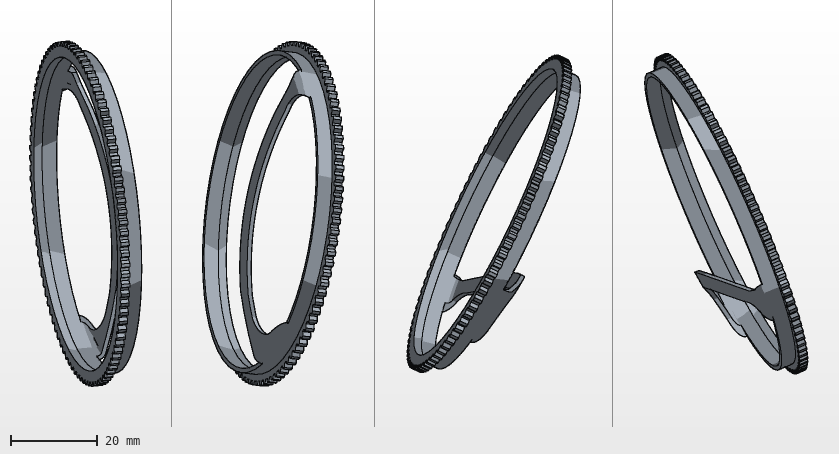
import cadquery as cq
import math

TIP_RADIUS = 40.0
ROOT_RADIUS = 39.0
BORE_RADIUS = 36.5
GEAR_THICKNESS = 2.0
TOOTH_COUNT = 99
TOOTH_PHASE = -0.45
TIP_SHARE = 0.34
BASE_SHARE = 0.72

COLLAR_RADIUS = 37.5
COLLAR_BACK = 5.5
WALL = COLLAR_RADIUS - BORE_RADIUS

DOME_TOP = 13.0
DOME_RADIUS = 116.0
BEND_INSIDE = 1.2
BEND_OUTSIDE = BEND_INSIDE + WALL

EDGE_CENTRE = (-109.0, -49.9)
INNER_EDGE_RADIUS = 105.9
BAND_WIDTH = 4.0
OUTER_EDGE_RADIUS = INNER_EDGE_RADIUS + BAND_WIDTH
OUTER_EDGE_TOP_Z = 22.0
OUTER_EDGE_BOTTOM_Z = -20.8
INNER_EDGE_TOP_Z = 16.2
INNER_EDGE_BOTTOM_Z = -22.8
UPPER_FLARE_MIDDLE = (-29.2, 18.7)
UPPER_FLARE_END = (-33.5, 17.0)
LOWER_FLARE_START = (-6.2, -28.0)
LOWER_FLARE_MIDDLE = (-7.8, -31.8)
LOWER_FLARE_END = (-12.6, -33.5)
LOWER_FOOT_TIP = (-18.6, -32.6)
UPPER_FOOT_X = -26.9
UPPER_FOOT_CORNER_Z = 24.3
LOWER_FOOT_X = -1.6
FOOT_REACH = 40.0

NEAREST_RADIUS = math.hypot(*EDGE_CENTRE) - OUTER_EDGE_RADIUS
DOME_CENTRE_Y = DOME_TOP - math.sqrt(DOME_RADIUS**2 - NEAREST_RADIUS**2)


def polar(radius, angle):
    return (radius * math.cos(angle), radius * math.sin(angle))


def disc(radius, start, end):
    """Solid disc about Y between two Y positions."""
    return cq.Workplane("XZ", origin=(0, start, 0)).circle(radius).extrude(start - end)


def gear_ring():
    pitch = 2 * math.pi / TOOTH_COUNT
    half_tip = pitch * TIP_SHARE / 2
    half_base = pitch * BASE_SHARE / 2
    first = math.radians(TOOTH_PHASE)
    outline = cq.Workplane("XZ").moveTo(*polar(ROOT_RADIUS, first - half_base))
    for tooth in range(TOOTH_COUNT):
        middle = first + tooth * pitch
        outline = outline.lineTo(*polar(TIP_RADIUS, middle - half_tip))
        outline = outline.threePointArc(polar(TIP_RADIUS, middle), polar(TIP_RADIUS, middle + half_tip))
        outline = outline.lineTo(*polar(ROOT_RADIUS, middle + half_base))
        outline = outline.threePointArc(
            polar(ROOT_RADIUS, middle + pitch / 2),
            polar(ROOT_RADIUS, middle + pitch - half_base),
        )
    return outline.close().extrude(-GEAR_THICKNESS).cut(disc(BORE_RADIUS, 0, GEAR_THICKNESS))


def domed_plug(rim_radius, dome_radius, bend_radius):
    """Round plug with a spherical cap whose rim is rounded, revolved about Y."""
    bend_x = rim_radius - bend_radius
    bend_reach = dome_radius - bend_radius
    bend_y = DOME_CENTRE_Y + math.sqrt(bend_reach**2 - bend_x**2)
    cap_angle = math.asin(bend_x / bend_reach)

    def on_cap(angle):
        return (dome_radius * math.sin(angle), DOME_CENTRE_Y + dome_radius * math.cos(angle))

    bend_angle = (cap_angle + math.pi / 2) / 2
    bend_middle = (bend_x + bend_radius * math.sin(bend_angle), bend_y + bend_radius * math.cos(bend_angle))
    return (
        cq.Workplane("XY")
        .moveTo(0, 0)
        .lineTo(rim_radius, 0)
        .lineTo(rim_radius, bend_y)
        .threePointArc(bend_middle, on_cap(cap_angle))
        .threePointArc(on_cap(cap_angle / 2), on_cap(0))
        .close()
        .revolve(360, (0, 0, 0), (0, 1, 0))
    )


def edge_point(radius, z):
    """Point at height z on a handle edge of the given radius."""
    x, centre_z = EDGE_CENTRE
    return (x + math.sqrt(radius**2 - (z - centre_z) ** 2), z)


def handle_outline():
    middle_z = (OUTER_EDGE_TOP_Z + OUTER_EDGE_BOTTOM_Z) / 2
    return (
        cq.Workplane("XZ", origin=(0, COLLAR_BACK, 0))
        .moveTo(UPPER_FOOT_X, FOOT_REACH)
        .lineTo(UPPER_FOOT_X, UPPER_FOOT_CORNER_Z)
        .lineTo(*edge_point(OUTER_EDGE_RADIUS, OUTER_EDGE_TOP_Z))
        .threePointArc(
            edge_point(OUTER_EDGE_RADIUS, middle_z),
            edge_point(OUTER_EDGE_RADIUS, OUTER_EDGE_BOTTOM_Z),
        )
        .lineTo(LOWER_FOOT_X, -COLLAR_RADIUS)
        .lineTo(LOWER_FOOT_X, -FOOT_REACH)
        .lineTo(LOWER_FOOT_TIP[0], -FOOT_REACH)
        .lineTo(*LOWER_FOOT_TIP)
        .lineTo(*LOWER_FLARE_END)
        .threePointArc(LOWER_FLARE_MIDDLE, LOWER_FLARE_START)
        .lineTo(*edge_point(INNER_EDGE_RADIUS, INNER_EDGE_BOTTOM_Z))
        .threePointArc(
            edge_point(INNER_EDGE_RADIUS, middle_z),
            edge_point(INNER_EDGE_RADIUS, INNER_EDGE_TOP_Z),
        )
        .threePointArc(UPPER_FLARE_MIDDLE, UPPER_FLARE_END)
        .lineTo(-FOOT_REACH, UPPER_FLARE_END[1])
        .lineTo(-FOOT_REACH, FOOT_REACH)
        .close()
        .extrude(COLLAR_BACK - DOME_TOP)
    )


def handle_ring():
    collar = disc(COLLAR_RADIUS, GEAR_THICKNESS, COLLAR_BACK).cut(
        disc(BORE_RADIUS, GEAR_THICKNESS, COLLAR_BACK)
    )
    shell = domed_plug(COLLAR_RADIUS, DOME_RADIUS, BEND_OUTSIDE).cut(
        domed_plug(BORE_RADIUS, DOME_RADIUS - WALL, BEND_INSIDE)
    )
    return collar.union(shell.intersect(handle_outline()))


toothed_ring = gear_ring()
ring_with_handle = handle_ring()
result = cq.Compound.makeCompound([toothed_ring.val(), *ring_with_handle.solids().vals()])